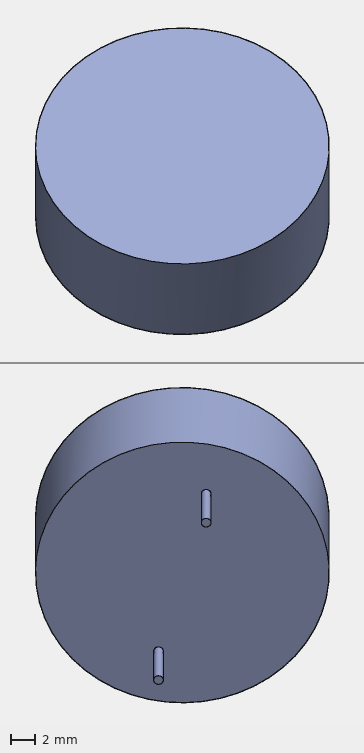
import cadquery as cq

housing_diameter = 24.0
housing_height = 9.7
pin_diameter = 0.8
pin_length = 5.1
pin_pitch = 15.0


def make_housing():
    """Plain cylindrical housing standing on the XY plane."""
    return cq.Workplane("XY").circle(housing_diameter / 2).extrude(housing_height)


def make_pin(y_position):
    """Round pin hanging down from the underside of the housing."""
    return cq.Workplane("XY").center(0, y_position).circle(pin_diameter / 2).extrude(-pin_length)


housing = make_housing()
pins = [make_pin(side * pin_pitch / 2) for side in (-1, 1)]

result = cq.Compound.makeCompound([housing.val(), *[pin.val() for pin in pins]])